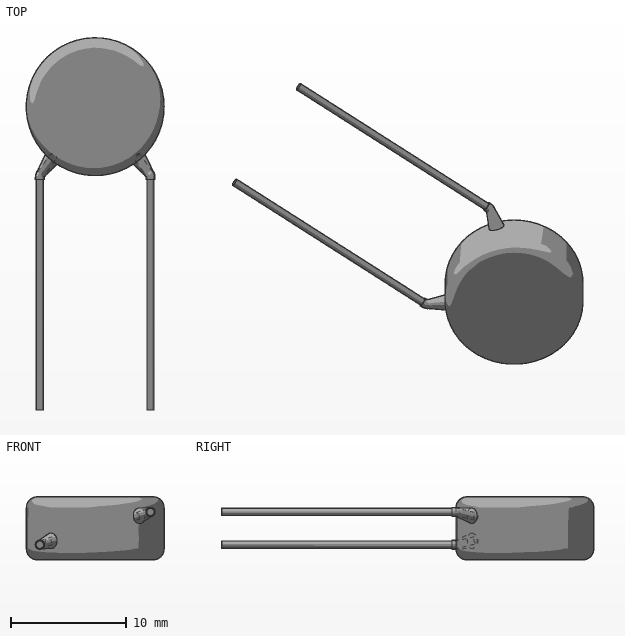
import cadquery as cq
import math

DISC_DIAMETER = 12.0
DISC_THICKNESS = 5.5
RIM_FILLET = 0.97

LEAD_DIAMETER = 0.65
LEAD_PITCH_X = 9.6
LEAD_PITCH_Z = 2.85
OVERALL_LENGTH = 32.32
LEAD_TURNS = (0, 180)

SLEEVE_DIAMETER = 0.8
COLLAR_LENGTH = 0.2
COLLAR_END_Y = -6.35
BEND_RADIUS = 0.58
CONE_LENGTH = 1.95
CONE_ROOT_DIAMETER = 1.5
SLEEVE_HEADING = cq.Vector(3.1, 4.3, 1.0).normalized()

lead_tip = cq.Vector(-LEAD_PITCH_X / 2, DISC_DIAMETER / 2 - OVERALL_LENGTH, -LEAD_PITCH_Z / 2)
collar_start = cq.Vector(lead_tip.x, COLLAR_END_Y, lead_tip.z)
straight_heading = cq.Vector(0, 1, 0)
bend_start = collar_start + straight_heading * COLLAR_LENGTH
bend_angle = straight_heading.getAngle(SLEEVE_HEADING)
bend_side = (SLEEVE_HEADING - straight_heading * SLEEVE_HEADING.y).normalized()


def point_on_bend(angle):
    """Point of the centreline arc after turning through the angle."""
    along = straight_heading * (BEND_RADIUS * math.sin(angle))
    sideways = bend_side * (BEND_RADIUS * (1 - math.cos(angle)))
    return bend_start + along + sideways


bend_middle = point_on_bend(bend_angle / 2)
bend_end = point_on_bend(bend_angle)
cone_root = bend_end + SLEEVE_HEADING * CONE_LENGTH


def round_bar(diameter, start, end):
    """Straight cylinder between two points."""
    return cq.Solid.makeCylinder(diameter / 2, (end - start).Length, start, end - start)


def bent_bar(diameter):
    """Round bar following the bend of the centreline."""
    arc = cq.Edge.makeThreePointArc(bend_start, bend_middle, bend_end)
    profile = cq.Workplane(cq.Plane(bend_start, normal=straight_heading)).circle(diameter / 2)
    return profile.sweep(cq.Workplane(obj=arc)).val()


def make_sleeve():
    collar = round_bar(SLEEVE_DIAMETER, collar_start, bend_start)
    cone = cq.Solid.makeCone(
        SLEEVE_DIAMETER / 2, CONE_ROOT_DIAMETER / 2, CONE_LENGTH, bend_end, SLEEVE_HEADING
    )
    return cq.Workplane(collar).union(cq.Workplane(bent_bar(SLEEVE_DIAMETER))).union(cq.Workplane(cone))


def make_lead():
    """Lead from its free tip, around the bend and up to the root of the cone."""
    straight = round_bar(LEAD_DIAMETER, lead_tip, bend_start)
    root = round_bar(LEAD_DIAMETER, bend_end, cone_root)
    return cq.Workplane(straight).union(cq.Workplane(bent_bar(LEAD_DIAMETER))).union(cq.Workplane(root))


def turned_about_y(body, turn):
    return body.rotate((0, 0, 0), (0, 1, 0), turn)


def make_coating(leads):
    """Disc and both sleeves as one coat, with a matching hole for each lead."""
    coating = cq.Workplane().circle(DISC_DIAMETER / 2).extrude(DISC_THICKNESS / 2, both=True)
    coating = coating.edges().fillet(RIM_FILLET)
    for turn in LEAD_TURNS:
        coating = coating.union(turned_about_y(make_sleeve(), turn))
    for lead in leads:
        coating = coating.cut(lead)
    return coating


leads = [turned_about_y(make_lead(), turn) for turn in LEAD_TURNS]
coating = make_coating(leads)

result = cq.Compound.makeCompound([coating.val(), *[lead.val() for lead in leads]])